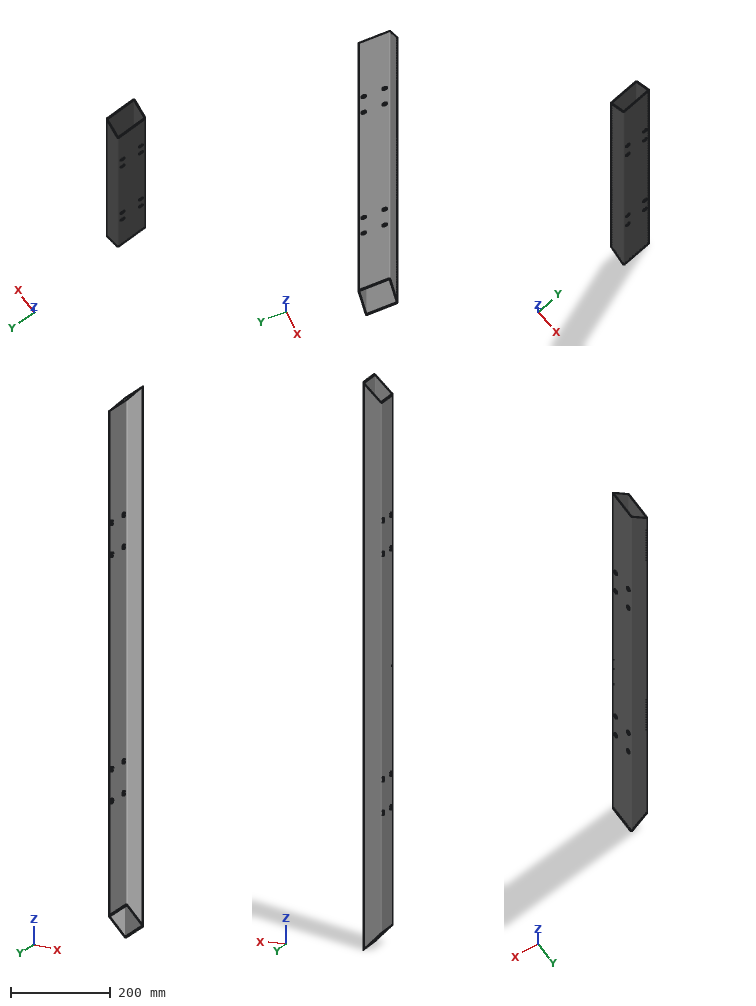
import cadquery as cq

depth = 40.0
width = 70.0
length = 1184.0
wall = 2.0
outer_radius = 2.5
inner_radius = outer_radius - wall

hole_diameter = 10.2
hole_spacing_y = 46.0
hole_spacing_z = 70.0
group_spacing_z = 540.0


def rounded_bar(size_x, size_y, radius):
    """Full-length bar along Z with rounded long edges."""
    return cq.Workplane("XY").box(size_x, size_y, length).edges("|Z").fillet(radius)


def rectangular_tube():
    """Square-ended tube with concentric inner and outer corner rounds."""
    outside = rounded_bar(depth, width, outer_radius)
    inside = rounded_bar(depth - 2 * wall, width - 2 * wall, inner_radius)
    return outside.cut(inside)


def mitred_block():
    """Solid block with both ends cut at 45 degrees, shorter on the -X side."""
    half_long = length / 2
    half_short = half_long - depth
    outline = [
        (-depth / 2, -half_short),
        (depth / 2, -half_long),
        (depth / 2, half_long),
        (-depth / 2, half_short),
    ]
    return cq.Workplane("XZ").polyline(outline).close().extrude(width / 2, both=True)


def hole_group(center_z):
    """Four drills along X that pass through both wide walls."""
    return (
        cq.Workplane("YZ")
        .center(0, center_z)
        .rarray(hole_spacing_y, hole_spacing_z, 2, 2)
        .circle(hole_diameter / 2)
        .extrude(depth, both=True)
    )


result = rectangular_tube().intersect(mitred_block())
for group_z in (-group_spacing_z / 2, group_spacing_z / 2):
    result = result.cut(hole_group(group_z))